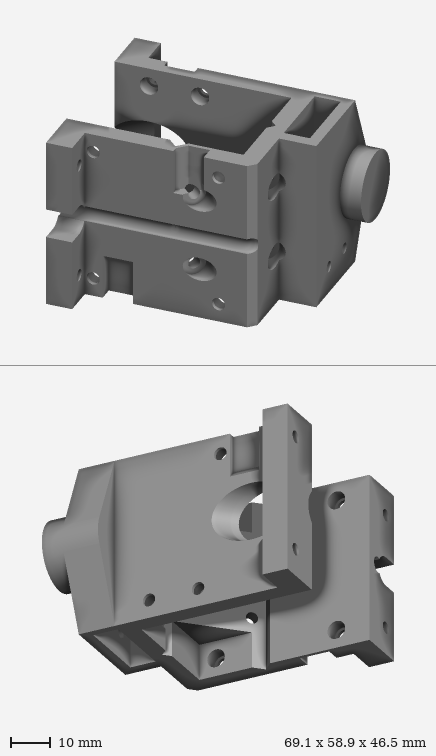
import cadquery as cq
import math

height = 46.5
mid_z = height / 2
wall = 5.05
foot_thickness = 7.1
foot_reach = 8.35
end_wall_outer_x = 53.2
end_wall_inner_x = end_wall_outer_x - wall
front_outer_y = foot_reach
front_inner_y = front_outer_y + wall
back_inner_y = 44.8
back_outer_y = back_inner_y + wall
back_foot_y = 58.0
corner_chamfer = 2.0

notch_depth = 2.55
notch_front = (30.7, front_inner_y - notch_depth)
notch_end_x = end_wall_inner_x + notch_depth * 0.7
notch_end = (notch_end_x, notch_front[1] + notch_end_x - notch_front[0])
seat_center = ((notch_front[0] + notch_end[0]) / 2, (notch_front[1] + notch_end[1]) / 2)
seat_bottom_z = 9.9
seat_top_z = 38.0

screw_spacing = 20.0
screw_diameter = 3.2
screw_head_diameter = 6.5
screw_grip = 3.6

tube_outer_x = 63.35
tube_inner_x = 60.3
tube_front_y = 24.45
tube_cavity_y = (27.6, 47.75)

pin_diameter = 19.0
pin_y = 58.9 - pin_diameter / 2
pin_end_x = 69.1

plate_hole_x = (9.4, 43.45)
plate_hole_z_offset = 18.25
plate_hole_diameter = 3.5
wide_hole_diameter = 5.0
hole_skin = 1.05
back_hole_step = 13.9
foot_hole_z_offset = 15.8
front_foot_hole_y = 4.55
front_foot_hole_diameter = 3.2
back_foot_hole_y = 53.55
back_foot_hole_diameter = 3.3
end_hole_y = (32.7, 42.8)
end_hole_diameter = 3.0
port_diameter = 15.95
port_x = 9.4

groove_diameter = 4.3
groove_y = 8.8
foot_slot_width = 7.95
foot_slot_y = 4.5

pocket_height = 12.1
pocket_width = 8.3
deep_pocket = 4.0
shallow_pocket = 2.1
bottom_pocket_x = 11.95
back_pocket_x = 12.3
top_pocket_x = 31.15
seat_skin = 1.0


def box(x, y, z):
    """Block between the low and high bounds given for each axis."""
    block = cq.Workplane("XY").box(x[1] - x[0], y[1] - y[0], z[1] - z[0], centered=False)
    return block.translate((x[0], y[0], z[0]))


def prism(points, z_low, z_high):
    """Upright prism over an outline in X and Y."""
    return cq.Workplane("XY").workplane(offset=z_low).polyline(points).close().extrude(z_high - z_low)


def rod(start, direction, diameter, length):
    """Cylinder from a start point along a direction."""
    axis = cq.Vector(*direction)
    return cq.Workplane(cq.Solid.makeCylinder(diameter / 2, length, cq.Vector(*start), axis))


def make_frame():
    outline = [
        (0, 0),
        (foot_thickness, 0),
        (foot_thickness, front_outer_y),
        (end_wall_outer_x - corner_chamfer, front_outer_y),
        (end_wall_outer_x, front_outer_y + corner_chamfer),
        (end_wall_outer_x, back_outer_y),
        (foot_thickness, back_outer_y),
        (foot_thickness, back_foot_y),
        (0, back_foot_y),
        (0, back_inner_y),
        (end_wall_inner_x, back_inner_y),
        (end_wall_inner_x, front_inner_y),
        (0, front_inner_y),
    ]
    return prism(outline, 0, height)


def make_seat():
    corner = (end_wall_outer_x - wall / 2, front_outer_y + wall / 2)
    return prism([notch_front, notch_end, corner], seat_bottom_z, seat_top_z)


def cut_notches(body):
    """Clear the space in front of the seat and its two V notches over the full height."""
    notch_width = notch_front[0] - notch_depth
    outline = [
        notch_front,
        notch_end,
        (end_wall_inner_x, notch_end[1] + notch_end[0] - end_wall_inner_x),
        (notch_width, notch_end[1]),
        (notch_width, front_inner_y),
    ]
    return body.cut(prism(outline, 0, height))


def make_tube():
    return box((end_wall_outer_x, tube_outer_x), (tube_front_y, back_outer_y), (0, height))


def make_hub():
    """Pin whose inner stretch tapers tangentially to the back corners of the tube."""
    pin = rod((end_wall_outer_x, pin_y, mid_z), (1, 0, 0), pin_diameter, pin_end_x - end_wall_outer_x)
    corner_dy = back_outer_y - pin_y
    corner_distance = math.hypot(corner_dy, mid_z)
    tangent_angle = math.atan2(mid_z, corner_dy) - math.acos(pin_diameter / 2 / corner_distance)
    tangent_y = pin_y + pin_diameter / 2 * math.cos(tangent_angle)
    tangent_z = pin_diameter / 2 * math.sin(tangent_angle)
    outline = [
        (back_outer_y, 0),
        (tangent_y, mid_z - tangent_z),
        (tangent_y, mid_z + tangent_z),
        (back_outer_y, height),
        (tube_cavity_y[1], height),
        (tube_cavity_y[1], 0),
    ]
    taper = cq.Workplane("YZ").workplane(offset=end_wall_outer_x).polyline(outline).close()
    return pin.union(taper.extrude(tube_outer_x - end_wall_outer_x))


def cut_tube_cavity(body):
    return body.cut(box((end_wall_outer_x, tube_inner_x), tube_cavity_y, (0, height)))


def cut_screws(body):
    """Counterbored screw holes square to the seat."""
    axis = (1, -1, 0)
    along = screw_spacing / 2 / math.sqrt(2)
    sink = screw_grip / math.sqrt(2)
    reach = tube_outer_x - end_wall_inner_x
    for side in (-1, 1):
        x = seat_center[0] + side * along
        y = seat_center[1] + side * along
        for level in (-1, 1):
            z = (seat_bottom_z + seat_top_z) / 2 + level * screw_spacing / 2
            body = body.cut(rod((x, y, z), axis, screw_diameter, reach))
            body = body.cut(rod((x + sink, y - sink, z), axis, screw_head_diameter, reach))
    return body


def cut_stepped_hole(body, start, outward):
    """Hole from the inner face of a wall, wide at first and narrow through the outer skin."""
    axis = (0, outward, 0)
    wide = rod(start, axis, wide_hole_diameter, wall - hole_skin)
    return body.cut(wide).cut(rod(start, axis, plate_hole_diameter, wall))


def cut_plate_holes(body):
    """Holes through the front and back walls, widened from the inside up to a thin outer skin."""
    for side in (-1, 1):
        z = mid_z + side * plate_hole_z_offset
        for x in plate_hole_x:
            body = cut_stepped_hole(body, (x, front_inner_y, z), -1)
        first_x = plate_hole_x[0] if side > 0 else plate_hole_x[1]
        for x in (first_x, first_x + side * back_hole_step):
            body = cut_stepped_hole(body, (x, back_inner_y, z), 1)
    return body


def cut_foot_holes(body):
    for side in (-1, 1):
        z = mid_z + side * foot_hole_z_offset
        front = rod((0, front_foot_hole_y, z), (1, 0, 0), front_foot_hole_diameter, foot_thickness)
        back = rod((0, back_foot_hole_y, z), (1, 0, 0), back_foot_hole_diameter, foot_thickness)
        body = body.cut(front).cut(back)
    return body


def cut_end_holes(body):
    """Holes through the end wall and the tube behind it."""
    z = mid_z - foot_hole_z_offset
    for y in end_hole_y:
        length = tube_outer_x - seat_center[0]
        body = body.cut(rod((seat_center[0], y, z), (1, 0, 0), end_hole_diameter, length))
    return body


def cut_port(body):
    """Round port through the back wall, parallel to the seat."""
    reach = 2 * wall
    start = (port_x - reach, back_inner_y - reach, mid_z)
    return body.cut(rod(start, (1, 1, 0), port_diameter, 4 * reach))


def cut_front_groove(body):
    groove = rod((0, groove_y, mid_z), (1, 0, 0), groove_diameter, end_wall_outer_x)
    slot_z = (mid_z - foot_slot_width / 2, mid_z + foot_slot_width / 2)
    slot = box((0, foot_thickness), (0, foot_slot_y), slot_z)
    slot_end = rod((0, foot_slot_y, mid_z), (1, 0, 0), foot_slot_width, foot_thickness)
    return body.cut(groove).cut(slot).cut(slot_end)


def cut_pockets(body):
    pocket_floor_y = front_outer_y + deep_pocket
    bottom_x = (bottom_pocket_x, bottom_pocket_x + pocket_width)
    bottom = box(bottom_x, (front_outer_y, pocket_floor_y), (0, pocket_height))

    seat_line = notch_front[1] - notch_front[0] - seat_skin * math.sqrt(2)
    top_outline = [
        (top_pocket_x, front_outer_y),
        (top_pocket_x, top_pocket_x + seat_line),
        (pocket_floor_y - seat_line, pocket_floor_y),
        (top_pocket_x + pocket_width, pocket_floor_y),
        (top_pocket_x + pocket_width, front_outer_y),
    ]
    top = prism(top_outline, height - pocket_height, height)

    floor_z = height - pocket_height
    back_outline = [
        (back_outer_y - shallow_pocket, height),
        (back_outer_y - shallow_pocket, floor_z + shallow_pocket),
        (back_outer_y, floor_z),
        (back_outer_y, height),
    ]
    back = cq.Workplane("YZ").workplane(offset=back_pocket_x).polyline(back_outline).close()
    return body.cut(bottom).cut(top).cut(back.extrude(pocket_width))


body = make_frame().union(make_seat()).union(make_tube()).union(make_hub())
body = cut_notches(body)
body = cut_tube_cavity(body)
body = cut_screws(body)
body = cut_plate_holes(body)
body = cut_foot_holes(body)
body = cut_end_holes(body)
body = cut_port(body)
body = cut_front_groove(body)
result = cut_pockets(body)